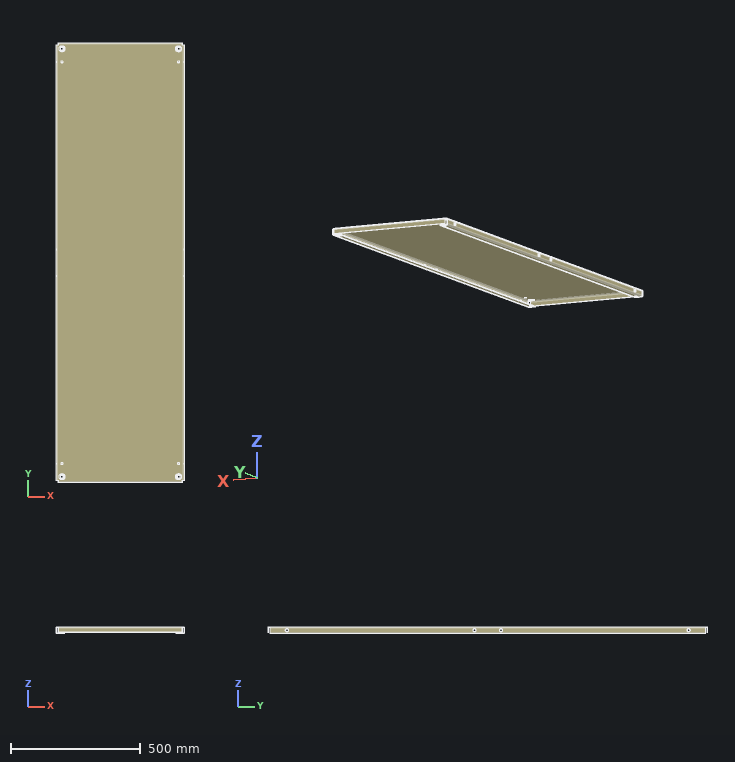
import cadquery as cq

WIDTH = 496.0
LENGTH = 1697.0
HEIGHT = 27.0

SHEET = 2.5
BEND_RADIUS = 5.5
BEND_INNER_RADIUS = BEND_RADIUS - SHEET

LIP_WIDTH = 32.0
END_FLANGE_HEIGHT = 22.0
CORNER_NOTCH = BEND_RADIUS + SHEET

HOLE_INSET = 23.0
HOLE_ROW_X = WIDTH / 2 - HOLE_INSET
CORNER_HOLE_Y = LENGTH / 2 - HOLE_INSET
ACCESS_HOLE_DIAMETER = 23.0
LIP_HOLE_SIZE = 10.0
SMALL_HOLE_DIAMETER = 8.0
SIDE_HOLE_DIAMETER = 11.0
OUTER_HOLE_Y = 775.0
INNER_SIDE_HOLE_Y = 51.0

TOP = HEIGHT / 2
BOTTOM = -HEIGHT / 2


def side_channel():
    """Top sheet with both long sides bent down and their lips bent inward."""
    length = LENGTH - 2 * CORNER_NOTCH
    solid = (
        cq.Workplane("XY")
        .box(WIDTH, length, HEIGHT)
        .edges("|Y")
        .fillet(BEND_RADIUS)
    )
    cavity = (
        cq.Workplane("XY")
        .box(WIDTH - 2 * SHEET, length, HEIGHT - 2 * SHEET)
        .edges("|Y")
        .fillet(BEND_INNER_RADIUS)
    )
    opening = (
        cq.Workplane("XY")
        .box(WIDTH - 2 * LIP_WIDTH, length, HEIGHT)
        .translate((0, 0, -SHEET))
    )
    return solid.cut(cavity).cut(opening)


def end_channel():
    """Top sheet with both ends bent down into plain flanges."""
    width = WIDTH - 2 * CORNER_NOTCH
    mid_z = TOP - END_FLANGE_HEIGHT / 2
    solid = (
        cq.Workplane("XY")
        .box(width, LENGTH, END_FLANGE_HEIGHT)
        .edges("|X and >Z")
        .fillet(BEND_RADIUS)
    )
    cavity = (
        cq.Workplane("XY")
        .box(width, LENGTH - 2 * SHEET, END_FLANGE_HEIGHT)
        .edges("|X and >Z")
        .fillet(BEND_INNER_RADIUS)
        .translate((0, 0, -SHEET))
    )
    return solid.cut(cavity).translate((0, 0, mid_z))


def mirrored_points(x, y):
    """The four points at plus and minus x and y."""
    return [(sx * x, sy * y) for sx in (-1, 1) for sy in (-1, 1)]


def top_hole_cutters(y, diameter):
    """Four round cutters through the top sheet, on the common hole row."""
    return (
        cq.Workplane("XY")
        .workplane(offset=TOP)
        .pushPoints(mirrored_points(HOLE_ROW_X, y))
        .circle(diameter / 2)
        .extrude(-SHEET)
    )


def lip_cutters():
    """Square mounting holes in the lips, below the access holes."""
    return (
        cq.Workplane("XY")
        .workplane(offset=BOTTOM)
        .pushPoints(mirrored_points(HOLE_ROW_X, CORNER_HOLE_Y))
        .rect(LIP_HOLE_SIZE, LIP_HOLE_SIZE)
        .extrude(SHEET)
    )


def side_cutters():
    """Round holes through both side walls at mid height."""
    rows = (OUTER_HOLE_Y, INNER_SIDE_HOLE_Y)
    points = [(side * y, 0) for side in (-1, 1) for y in rows]
    return (
        cq.Workplane("YZ")
        .pushPoints(points)
        .circle(SIDE_HOLE_DIAMETER / 2)
        .extrude(WIDTH / 2, both=True)
    )


panel = side_channel().union(end_channel())
panel = panel.cut(top_hole_cutters(CORNER_HOLE_Y, ACCESS_HOLE_DIAMETER))
panel = panel.cut(top_hole_cutters(OUTER_HOLE_Y, SMALL_HOLE_DIAMETER))
result = panel.cut(lip_cutters()).cut(side_cutters())